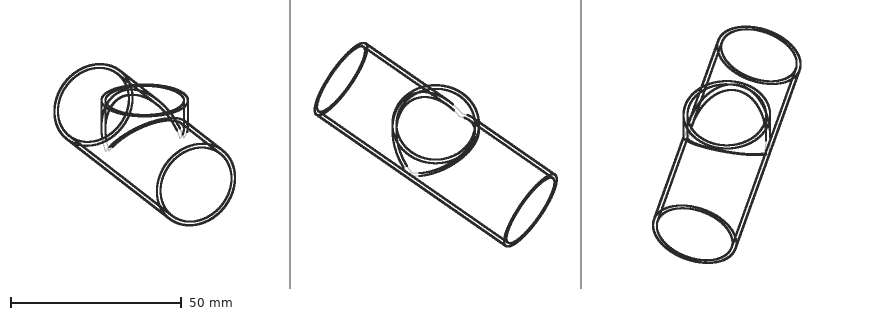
import cadquery as cq

run_length = 70.0
outer_diameter = 25.4
bore_diameter = 23.0
overall_height = 26.7

branch_height = overall_height - outer_diameter / 2


def tee_cylinders(diameter):
    """Solid run and branch cylinders of one diameter, joined at the origin."""
    run = cq.Workplane("YZ").circle(diameter / 2).extrude(run_length / 2, both=True)
    branch = cq.Workplane("XY").circle(diameter / 2).extrude(branch_height)
    return run.union(branch)


result = tee_cylinders(outer_diameter).cut(tee_cylinders(bore_diameter))